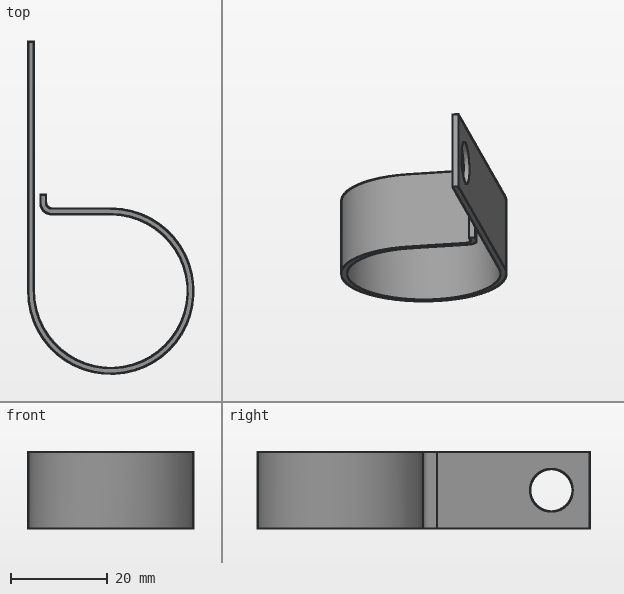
import cadquery as cq

strip_thickness = 1.22
strip_width = 15.88
loop_inner_diameter = 31.75
total_length = 68.66
hole_diameter = 8.74
hole_end_distance = 7.94
lip_gap = 1.3
lip_bend_inner_radius = 1.2
lip_rise = 4.1

inner_radius = loop_inner_diameter / 2
outer_radius = inner_radius + strip_thickness
leg_end_y = total_length - outer_radius
lip_bend_outer_radius = lip_bend_inner_radius + strip_thickness
lip_outer_x = -inner_radius + lip_gap
lip_inner_x = lip_outer_x + strip_thickness
lip_bend_x = lip_outer_x + lip_bend_outer_radius
lip_bend_y = inner_radius + lip_bend_outer_radius
lip_tip_y = inner_radius + lip_rise


def make_strap():
    """Bent strip: mounting leg, three-quarter loop, closing leg and upturned lip."""
    return (
        cq.Workplane("XY")
        .workplane(offset=-strip_width / 2)
        .moveTo(-outer_radius, leg_end_y)
        .lineTo(-outer_radius, 0)
        .threePointArc((0, -outer_radius), (0, outer_radius))
        .lineTo(lip_bend_x, outer_radius)
        .radiusArc((lip_inner_x, lip_bend_y), lip_bend_inner_radius)
        .lineTo(lip_inner_x, lip_tip_y)
        .lineTo(lip_outer_x, lip_tip_y)
        .lineTo(lip_outer_x, lip_bend_y)
        .radiusArc((lip_bend_x, inner_radius), -lip_bend_outer_radius)
        .lineTo(0, inner_radius)
        .threePointArc((0, -inner_radius), (-inner_radius, 0))
        .lineTo(-inner_radius, leg_end_y)
        .close()
        .extrude(strip_width)
    )


def make_hole_cutter():
    """Cylinder along X through the mounting leg, clear of the rest of the strap."""
    return (
        cq.Workplane("YZ")
        .workplane(offset=-outer_radius)
        .center(leg_end_y - hole_end_distance, 0)
        .circle(hole_diameter / 2)
        .extrude(strip_thickness)
    )


result = make_strap().cut(make_hole_cutter())